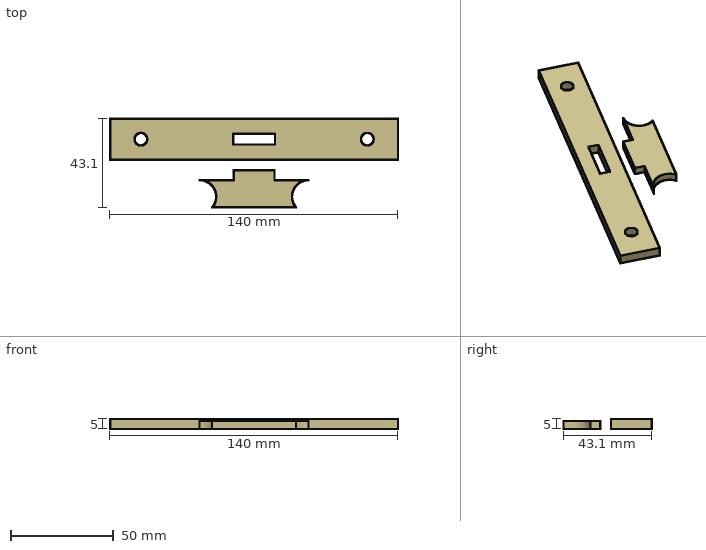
import cadquery as cq
import math

plate_length = 140.0
plate_width = 20.0
plate_thickness = 5.0
hole_diameter = 6.0
hole_spacing = 110.0

tongue_width = 20.0
tongue_length = 4.9
slot_clearance = 0.1
slot_length = tongue_width + slot_clearance
slot_width = 5.0

overall_depth = 43.1
gap = 5.0
grip_thickness = 4.0
grip_width = 52.9
scoop_radius = 8.0

tongue_back_y = -plate_width / 2 - gap
shoulder_y = tongue_back_y - tongue_length
grip_front_y = plate_width / 2 - overall_depth


def make_plate():
    """Flat bar with a screw hole near each end and a central slot."""
    plate = cq.Workplane("XY").box(
        plate_length, plate_width, plate_thickness, centered=(True, True, False)
    )
    holes = (
        cq.Workplane("XY")
        .pushPoints([(-hole_spacing / 2, 0), (hole_spacing / 2, 0)])
        .circle(hole_diameter / 2)
        .extrude(plate_thickness)
    )
    slot = cq.Workplane("XY").rect(slot_length, slot_width).extrude(plate_thickness)
    return plate.cut(holes).cut(slot)


def make_grip():
    """Grip with a rear tongue and a round finger scoop in each side."""
    half_grip = grip_width / 2
    half_tongue = tongue_width / 2

    scoop_y = shoulder_y - scoop_radius
    half_front = half_grip - math.sqrt(scoop_radius**2 - (scoop_y - grip_front_y) ** 2)
    half_waist = half_grip - scoop_radius

    return (
        cq.Workplane("XY")
        .moveTo(-half_tongue, tongue_back_y)
        .lineTo(half_tongue, tongue_back_y)
        .lineTo(half_tongue, shoulder_y)
        .lineTo(half_grip, shoulder_y)
        .threePointArc((half_waist, scoop_y), (half_front, grip_front_y))
        .lineTo(-half_front, grip_front_y)
        .threePointArc((-half_waist, scoop_y), (-half_grip, shoulder_y))
        .lineTo(-half_tongue, shoulder_y)
        .close()
        .extrude(grip_thickness)
    )


plate = make_plate()
grip = make_grip()

result = cq.Compound.makeCompound([plate.val(), grip.val()])